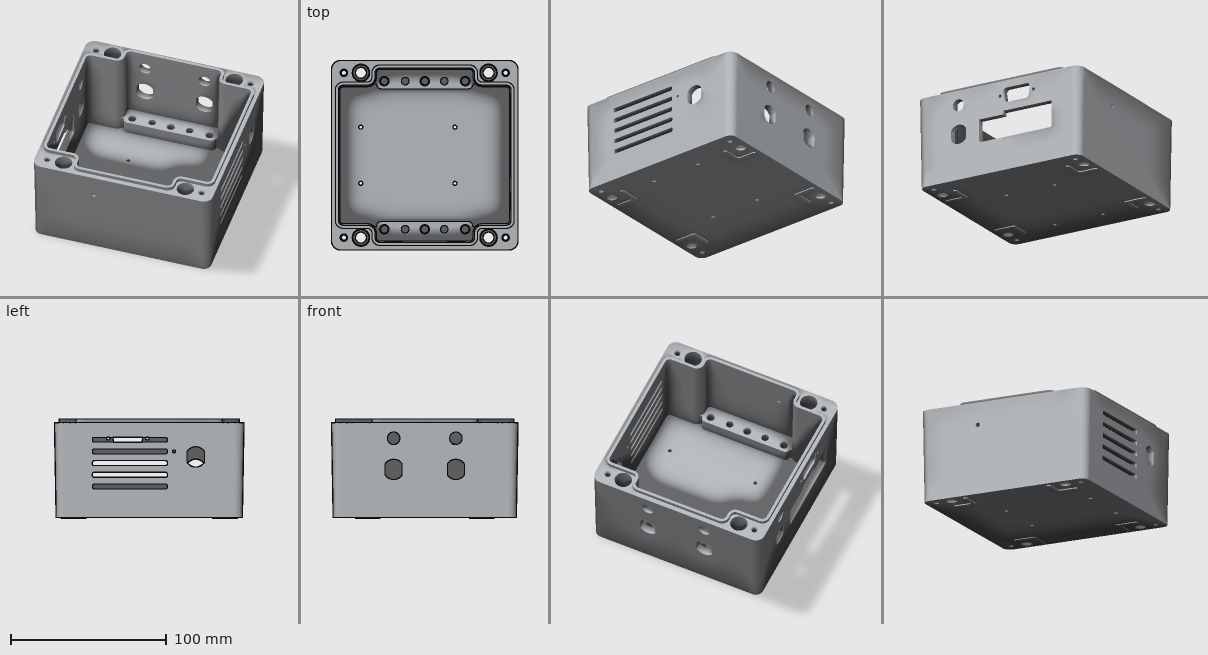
import cadquery as cq
import math

LENGTH_X = 120.0
LENGTH_Y = 122.0
BODY_HEIGHT = 61.0
CORNER_RADIUS = 6.1
WALL_DRAFT = 1.0
FLOOR = 4.0

RIM_HEIGHT = 2.5
RIM_THICKNESS = 2.0
RIM_HALF_X = 57.5
RIM_HALF_Y = 58.0
POST_HALF_X = 33.9
POST_HALF_Y = 47.0
RIM_OUTER_RADIUS = 5.0
RIM_INNER_RADIUS = 3.0

MOUNT_X, MOUNT_Y = 41.0, 53.0
MOUNT_DIAMETER = 7.0
MOUNT_BORE_TOP, MOUNT_BORE_BOTTOM = 11.2, 10.2
LID_SCREW_X, LID_SCREW_Y = 52.0, 53.0
LID_SCREW_DIAMETER, LID_SCREW_SINK_DIAMETER = 3.3, 4.8

BOSS_TOP = 12.7
BOSS_INNER_Y = 42.7
BOSS_HALF_X = 30.9
BOSS_RADIUS = 2.7
BOSS_ROOT_Y = 45.9
BOSS_HOLE_Y = 47.6
BOSS_HOLE_DEPTH = 8.0
BOSS_HOLE_DIAMETER = 4.9
BOSS_SINK_DIAMETER = 6.0
SUNK_HOLE_X = 26.0
PLAIN_HOLE_X = 12.6

FLOOR_HOLE_DIAMETER = 2.5
FLOOR_HOLE_SPACING_X, FLOOR_HOLE_SPACING_Y = 60.5, 36.1
FLOOR_HOLE_CENTER_X = -10.9

FOOT_HEIGHT = 0.6
FOOT_WIDTH = 3.0
FOOT_INNER_X, FOOT_INNER_Y = 28.7, 40.7
FOOT_LENGTH = 15.9
FOOT_FILLET = 1.2

ROUND_DIAMETER = 8.0
ROUND_Z = 51.0
FLAT_DIAMETER = 13.0
FLAT_WIDTH = 11.0
FLAT_Z = 31.0
FRONT_HOLE_X = 20.0
SIDE_HOLE_Y = -29.9
LEFT_FLAT_Z = 39.0

VENT_COUNT = 5
VENT_SPAN = 30.0
VENT_LENGTH, VENT_WIDTH = 48.1, 3.0
VENT_FILLET = 1.0
VENT_Y = 12.5
VENT_MIDDLE_Z = 35.0
PILOT_DIAMETER = 2.0
PILOT_Y, PILOT_Z = -16.0, 42.6

DSUB_Y, DSUB_Z = 13.8, 51.0
DSUB_TOP_WIDTH, DSUB_BOTTOM_WIDTH = 20.5, 17.3
DSUB_HEIGHT = 9.9
DSUB_FILLET = 2.5
DSUB_SCREW_SPACING = 25.0
DSUB_SCREW_DIAMETER = 2.2
WINDOW_MIN_Y, WINDOW_STEP_Y, WINDOW_MAX_Y = -14.6, 3.5, 39.8
WINDOW_BOTTOM_Z = 22.5
WINDOW_LOW_TOP_Z, WINDOW_HIGH_TOP_Z = 38.1, 40.5
WINDOW_FILLET = 1.5

BACK_HOLE_DIAMETER = 2.9
BACK_HOLE_X, BACK_HOLE_Z = 18.3, 46.0

SINK_ANGLE = 45.0

RIM_TOP = BODY_HEIGHT + RIM_HEIGHT
CAVITY_DEPTH = RIM_TOP - FLOOR
CUT_START = 46.4
CUT_LENGTH = LENGTH_Y / 2
QUADRANTS = [(1, 1), (-1, 1), (-1, -1), (1, -1)]


def four_corners(x, y):
    return [(x * sign_x, y * sign_y) for sign_x, sign_y in QUADRANTS]


def stepped_outline(z, inset):
    """Closed outline of the rim at height z, moved inward by inset."""
    far_x, far_y = RIM_HALF_X - inset, RIM_HALF_Y - inset
    near_x, near_y = POST_HALF_X - inset, POST_HALF_Y - inset
    convex = RIM_OUTER_RADIUS - inset
    concave = RIM_INNER_RADIUS + inset
    return (
        cq.Workplane("XY", origin=(0, 0, z))
        .moveTo(0, far_y)
        .lineTo(near_x - convex, far_y)
        .radiusArc((near_x, far_y - convex), convex)
        .lineTo(near_x, near_y + concave)
        .radiusArc((near_x + concave, near_y), -concave)
        .lineTo(far_x - convex, near_y)
        .radiusArc((far_x, near_y - convex), convex)
        .lineTo(far_x, 0)
        .mirrorX()
        .mirrorY()
    )


def straight_holes(points, top_z, depth, diameter):
    """Cylinders that go down from top_z."""
    plane = cq.Workplane("XY", origin=(0, 0, top_z))
    return plane.pushPoints(points).circle(diameter / 2).extrude(-depth)


def countersinks(points, top_z, sink_diameter, hole_diameter):
    """Cones that narrow from the sink diameter to the hole diameter."""
    depth = (sink_diameter - hole_diameter) / 2
    return (
        cq.Workplane("XY", origin=(0, 0, top_z))
        .pushPoints(points)
        .circle(sink_diameter / 2)
        .extrude(-depth, taper=SINK_ANGLE)
    )


def round_cut(wall, points, diameter):
    return wall.pushPoints(points).circle(diameter / 2).extrude(CUT_LENGTH)


def flatted_cut(wall, points):
    """Round connector holes with a flat on each side."""
    disc = wall.pushPoints(points).circle(FLAT_DIAMETER / 2).extrude(CUT_LENGTH)
    strip = wall.pushPoints(points).rect(FLAT_WIDTH, FLAT_DIAMETER).extrude(CUT_LENGTH)
    return disc.intersect(strip)


def make_shell():
    body = (
        cq.Workplane("XY", origin=(0, 0, BODY_HEIGHT))
        .sketch()
        .rect(LENGTH_X, LENGTH_Y)
        .vertices()
        .fillet(CORNER_RADIUS)
        .finalize()
        .extrude(-BODY_HEIGHT, taper=WALL_DRAFT)
    )
    rim = stepped_outline(BODY_HEIGHT, 0).extrude(RIM_HEIGHT)
    cavity = stepped_outline(RIM_TOP, RIM_THICKNESS).extrude(-CAVITY_DEPTH, taper=WALL_DRAFT)
    return body.union(rim), cavity


def make_bosses(cavity):
    """Two bars along the end walls, trimmed to the cavity; corners facing the middle are rounded."""
    bar = (
        cq.Workplane("XY")
        .center(0, (BOSS_INNER_Y + RIM_HALF_Y) / 2)
        .rect(2 * BOSS_HALF_X, RIM_HALF_Y - BOSS_INNER_Y)
        .extrude(BOSS_TOP)
        .edges("|Z and <Y")
        .fillet(BOSS_RADIUS)
    )
    root = (
        cq.Workplane("XY")
        .center(0, (BOSS_ROOT_Y + RIM_HALF_Y) / 2)
        .rect(2 * POST_HALF_X, RIM_HALF_Y - BOSS_ROOT_Y)
        .extrude(BOSS_TOP)
    )
    boss = bar.union(root).intersect(cavity)
    return boss.union(boss.mirror("XZ"))


def make_boss_holes():
    middle = [(0, BOSS_HOLE_Y), (0, -BOSS_HOLE_Y)]
    sunk = four_corners(SUNK_HOLE_X, BOSS_HOLE_Y) + middle
    plain = four_corners(PLAIN_HOLE_X, BOSS_HOLE_Y)
    holes = straight_holes(sunk + plain, BOSS_TOP, BOSS_HOLE_DEPTH, BOSS_HOLE_DIAMETER)
    return holes.union(countersinks(sunk, BOSS_TOP, BOSS_SINK_DIAMETER, BOSS_HOLE_DIAMETER))


def make_post_holes():
    mount_points = four_corners(MOUNT_X, MOUNT_Y)
    bore_depth = BODY_HEIGHT - FLOOR
    bore_draft = math.degrees(math.atan((MOUNT_BORE_TOP - MOUNT_BORE_BOTTOM) / 2 / bore_depth))
    bores = (
        cq.Workplane("XY", origin=(0, 0, BODY_HEIGHT))
        .pushPoints(mount_points)
        .circle(MOUNT_BORE_TOP / 2)
        .extrude(-bore_depth, taper=bore_draft)
    )
    mounts = straight_holes(mount_points, BODY_HEIGHT, BODY_HEIGHT, MOUNT_DIAMETER)
    lid_points = four_corners(LID_SCREW_X, LID_SCREW_Y)
    lid_screws = straight_holes(lid_points, BODY_HEIGHT, BODY_HEIGHT, LID_SCREW_DIAMETER)
    sinks = countersinks(lid_points, BODY_HEIGHT, LID_SCREW_SINK_DIAMETER, LID_SCREW_DIAMETER)
    return bores.union(mounts).union(lid_screws).union(sinks)


def make_floor_holes():
    return (
        cq.Workplane("XY")
        .center(FLOOR_HOLE_CENTER_X, 0)
        .rarray(FLOOR_HOLE_SPACING_X, FLOOR_HOLE_SPACING_Y, 2, 2)
        .circle(FLOOR_HOLE_DIAMETER / 2)
        .extrude(FLOOR)
    )


def make_feet():
    """L-shaped pads with rounded ends, one around each mounting hole."""
    radius = FOOT_WIDTH / 2
    corner_x, corner_y = FOOT_INNER_X + radius, FOOT_INNER_Y + radius
    reach = FOOT_LENGTH - FOOT_WIDTH
    corner = cq.Workplane("XY", origin=(corner_x, corner_y, -FOOT_HEIGHT))
    leg_x = corner.center(reach / 2, 0).slot2D(FOOT_LENGTH, FOOT_WIDTH).extrude(FOOT_HEIGHT)
    leg_y = corner.center(0, reach / 2).slot2D(FOOT_LENGTH, FOOT_WIDTH, 90).extrude(FOOT_HEIGHT)
    inner_edge = cq.selectors.NearestToPointSelector((corner_x + radius, corner_y + radius, 0))
    foot = leg_x.union(leg_y).edges("|Z").edges(inner_edge).fillet(FOOT_FILLET)
    pair = foot.union(foot.mirror("YZ"))
    return pair.union(pair.mirror("XZ"))


def make_front_openings():
    """-Y wall: two round holes above two flatted holes."""
    wall = cq.Workplane("XZ", origin=(0, -CUT_START, 0))
    sides = (-FRONT_HOLE_X, FRONT_HOLE_X)
    round_holes = round_cut(wall, [(x, ROUND_Z) for x in sides], ROUND_DIAMETER)
    return round_holes.union(flatted_cut(wall, [(x, FLAT_Z) for x in sides]))


def make_back_opening():
    """+Y wall: one screw hole."""
    wall = cq.Workplane("XZ", origin=(0, CUT_START + CUT_LENGTH, 0))
    return round_cut(wall, [(BACK_HOLE_X, BACK_HOLE_Z)], BACK_HOLE_DIAMETER)


def make_left_openings():
    """-X wall: ventilation slots, a screw hole and a flatted hole."""
    wall = cq.Workplane("YZ", origin=(-CUT_START - CUT_LENGTH, 0, 0))
    vents = (
        wall.center(VENT_Y, VENT_MIDDLE_Z)
        .rarray(1.2, VENT_SPAN / (VENT_COUNT - 1), 1, VENT_COUNT)
        .rect(VENT_LENGTH, VENT_WIDTH)
        .extrude(CUT_LENGTH)
        .edges("|X")
        .fillet(VENT_FILLET)
    )
    pilot = round_cut(wall, [(PILOT_Y, PILOT_Z)], PILOT_DIAMETER)
    return vents.union(pilot).union(flatted_cut(wall, [(SIDE_HOLE_Y, LEFT_FLAT_Z)]))


def make_right_openings():
    """+X wall: D-shaped connector, stepped window, round hole and flatted hole."""
    wall = cq.Workplane("YZ", origin=(CUT_START, 0, 0))
    top_half, bottom_half = DSUB_TOP_WIDTH / 2, DSUB_BOTTOM_WIDTH / 2
    connector = (
        wall.center(DSUB_Y, DSUB_Z)
        .polyline(
            [
                (-top_half, DSUB_HEIGHT / 2),
                (top_half, DSUB_HEIGHT / 2),
                (bottom_half, -DSUB_HEIGHT / 2),
                (-bottom_half, -DSUB_HEIGHT / 2),
            ]
        )
        .close()
        .extrude(CUT_LENGTH)
        .edges("|X")
        .fillet(DSUB_FILLET)
    )
    half_spacing = DSUB_SCREW_SPACING / 2
    screw_points = [(DSUB_Y - half_spacing, DSUB_Z), (DSUB_Y + half_spacing, DSUB_Z)]
    screws = round_cut(wall, screw_points, DSUB_SCREW_DIAMETER)
    window = (
        wall.moveTo(WINDOW_MIN_Y, WINDOW_BOTTOM_Z)
        .lineTo(WINDOW_MAX_Y, WINDOW_BOTTOM_Z)
        .lineTo(WINDOW_MAX_Y, WINDOW_HIGH_TOP_Z)
        .lineTo(WINDOW_STEP_Y, WINDOW_HIGH_TOP_Z)
        .lineTo(WINDOW_STEP_Y, WINDOW_LOW_TOP_Z)
        .lineTo(WINDOW_MIN_Y, WINDOW_LOW_TOP_Z)
        .close()
        .extrude(CUT_LENGTH)
        .edges("|X and <Z")
        .fillet(WINDOW_FILLET)
    )
    round_hole = round_cut(wall, [(SIDE_HOLE_Y, ROUND_Z)], ROUND_DIAMETER)
    flatted_hole = flatted_cut(wall, [(SIDE_HOLE_Y, FLAT_Z)])
    return connector.union(screws).union(window).union(round_hole).union(flatted_hole)


shell, cavity = make_shell()
result = shell.cut(cavity).union(make_bosses(cavity)).union(make_feet())
for openings in (
    make_post_holes(),
    make_boss_holes(),
    make_floor_holes(),
    make_front_openings(),
    make_back_opening(),
    make_left_openings(),
    make_right_openings(),
):
    result = result.cut(openings)